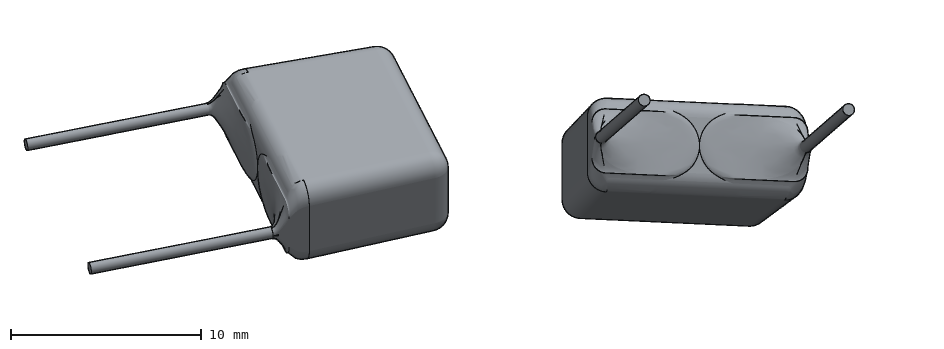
import cadquery as cq
import math


lead_pitch = 11.0
lead_diameter = 0.63
lead_radius = lead_diameter / 2
lead_length = 10.0

case_height = 5.0
case_half_height = case_height / 2
case_depth = 9.0
edge_radius = 1.0
horn_rise = 1.0
front_y = horn_rise
shoulder_y = front_y + edge_radius
back_y = front_y + case_depth
shoulder_half_width = 5.8
back_half_width = 5.5
side_slope = (shoulder_half_width - back_half_width) / (back_y - shoulder_y)
front_half_width = back_half_width + side_slope * case_depth

lead_outer_x = (lead_pitch + lead_diameter) / 2
lead_inner_x = lead_outer_x - lead_diameter
shoulder_hold = 1.36
corner_fraction = 0.9
root_corner = corner_fraction * lead_radius
horn_sections = 10


def make_case():
    """Case that widens evenly from back to front, with every edge rounded."""
    outline = (
        cq.Workplane("XY")
        .workplane(offset=-case_half_height)
        .moveTo(-front_half_width, front_y)
        .lineTo(front_half_width, front_y)
        .lineTo(back_half_width, back_y)
        .lineTo(-back_half_width, back_y)
        .close()
    )
    return outline.extrude(case_height).edges().fillet(edge_radius)


def horn_section(y):
    """D-shaped section at position y: round toward the middle, rounded corners outside."""
    drop = (1 - y / shoulder_y) ** shoulder_hold
    fullness = (1 + math.cos(math.pi * drop)) / 2
    half_height = lead_radius + (case_half_height - lead_radius) * fullness
    corner = root_corner + (edge_radius - root_corner) * fullness

    sweep = min(1.0, y / horn_rise)
    inner_x = lead_inner_x * math.sqrt(1 - sweep ** 2)
    outer_x = lead_outer_x + (shoulder_half_width - lead_outer_x) * y / shoulder_y

    flat_start_x = inner_x + half_height
    corner_x = outer_x - corner
    corner_z = half_height - corner
    diagonal = corner * math.sqrt(0.5)
    return (
        cq.Workplane("XZ", origin=(0, y, 0))
        .moveTo(flat_start_x, -half_height)
        .threePointArc((inner_x, 0), (flat_start_x, half_height))
        .lineTo(corner_x, half_height)
        .threePointArc((corner_x + diagonal, corner_z + diagonal), (outer_x, corner_z))
        .lineTo(outer_x, -corner_z)
        .threePointArc((corner_x + diagonal, -corner_z - diagonal), (corner_x, -half_height))
        .close()
        .val()
    )


def make_horn():
    """Coating on the +X lead, lofted from the shoulder to the lead root."""
    step = shoulder_y / horn_sections
    wires = [horn_section(shoulder_y - i * step) for i in range(horn_sections + 1)]
    return cq.Workplane(obj=cq.Solid.makeLoft(wires))


def make_lead():
    """Round wire of the +X lead."""
    return (
        cq.Workplane("XZ", origin=(lead_pitch / 2, 0, 0))
        .circle(lead_radius)
        .extrude(lead_length)
    )


terminal = make_horn().union(make_lead())
result = make_case().union(terminal).union(terminal.mirror("YZ"))